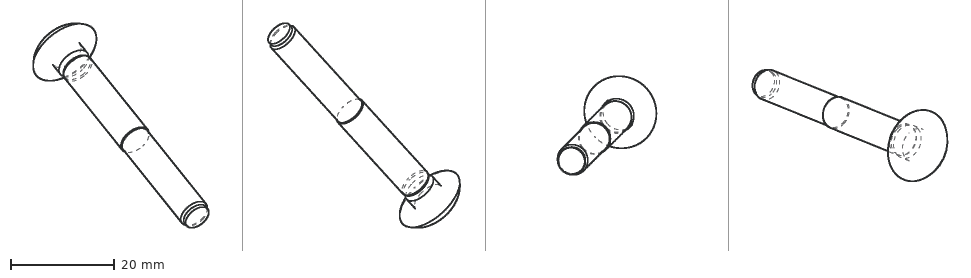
import cadquery as cq
import math

overall_length = 53.09

head_diameter = 14.29
head_height = 3.175
crown_diameter = 6.35
rim_radius = 0.36
dome_start_angle = 83

collar_diameter = 6.68
collar_end = 6.25
collar_blend = 0.25

groove_diameter = 6.1
groove_bottom = 7.4
groove_end = 7.75
toward_head = 180

shank_diameter = 6.35
shank_end = 29.45
end_shank_diameter = 6.0
step_length = 0.15

tip_diameter = 5.25
tip_length = 0.72
tip_chamfer_length = 0.5


def arc_middle(start, end, start_direction):
    """Middle point of the arc that leaves start along start_direction (degrees) and reaches end."""
    run = end[0] - start[0]
    rise = end[1] - start[1]
    half_chord = math.hypot(run, rise) / 2
    chord_angle = math.atan2(rise, run)
    turn = chord_angle - math.radians(start_direction)
    bulge = half_chord * math.tan(turn / 2)
    return (
        (start[0] + end[0]) / 2 + bulge * math.sin(chord_angle),
        (start[1] + end[1]) / 2 - bulge * math.cos(chord_angle),
    )


def half_profile():
    """Closed outline of half the bolt: X along the axis, Y as the radius."""
    crown_edge = (0, crown_diameter / 2)
    rim_start = (head_height - rim_radius, head_diameter / 2)
    collar_radius = collar_diameter / 2
    blend_inset = collar_blend * (1 - math.sqrt(0.5))
    rim_inset = rim_radius * (1 - math.sqrt(0.5))
    collar_corner = (collar_end, collar_radius)
    groove_low = (groove_bottom, groove_diameter / 2)
    tip_start = overall_length - tip_length
    return (
        cq.Workplane("XY")
        .moveTo(0, 0)
        .lineTo(*crown_edge)
        .threePointArc(arc_middle(crown_edge, rim_start, dome_start_angle), rim_start)
        .threePointArc(
            (head_height - rim_inset, head_diameter / 2 - rim_inset),
            (head_height, head_diameter / 2 - rim_radius),
        )
        .lineTo(head_height, collar_radius + collar_blend)
        .threePointArc(
            (head_height + blend_inset, collar_radius + blend_inset),
            (head_height + collar_blend, collar_radius),
        )
        .lineTo(*collar_corner)
        .threePointArc(arc_middle(groove_low, collar_corner, toward_head), groove_low)
        .lineTo(groove_end, shank_diameter / 2)
        .lineTo(shank_end, shank_diameter / 2)
        .lineTo(shank_end + step_length, end_shank_diameter / 2)
        .lineTo(tip_start - tip_chamfer_length, end_shank_diameter / 2)
        .lineTo(tip_start, tip_diameter / 2)
        .lineTo(overall_length, tip_diameter / 2)
        .lineTo(overall_length, 0)
        .close()
    )


result = half_profile().revolve(360, (0, 0, 0), (1, 0, 0))